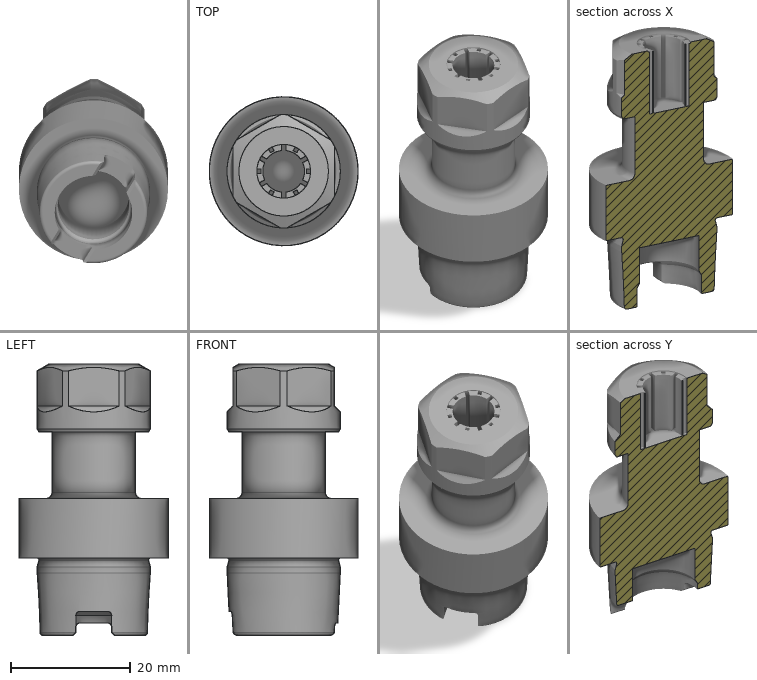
import cadquery as cq
import math

TAN_15 = math.tan(math.radians(15))
TAN_30 = math.tan(math.radians(30))

flange_radius = 25 / 2
flange_height = 10
neck_radius = 14 / 2
neck_fillet = 1

top_z = 32.53
nut_bottom_z = 21.15
nut_radius = 19 / 2
nut_top_radius = 15 / 2
nut_bottom_chamfer = 0.3
flat_count = 6
hex_across_flats = 17
hex_base_z = 25.5

shank_length = 13
shank_radius = 19 / 2
shank_relief_radius = 18.4 / 2
shank_relief_fillet = 0.3
shank_land_top_z = -1.5
shank_land_bottom_z = -2.5
taper_ratio = 1 / 20
rim_fillet = 0.55

mouth_radius = 13 / 2
inner_bore_radius = 12 / 2
mouth_depth = 3.37
inner_bore_top_z = shank_land_bottom_z

drive_slot_width = 6
left_slot_depth = 4.05
right_slot_depth = 2.1
drive_slot_corner = 0.7
drive_slot_flare = 0.5

collet_seat_radius = 9 / 2
collet_recess = 0.2
collet_bore_radius = 7 / 2
collet_slot_count = 6
collet_slot_width = 0.7
short_slot_inner_radius = 3.8
collet_bore_depth = top_z - nut_bottom_z


def make_body():
    """Shank, flange, neck and round nut blank, turned in one profile."""
    shank_bottom_z = -shank_length
    rim_z = shank_bottom_z + rim_fillet
    rim_radius = shank_radius - (shank_land_bottom_z - rim_z) * taper_ratio
    relief_cone_z = shank_land_top_z + (shank_radius - shank_relief_radius) / TAN_15
    nut_chamfer_height = nut_bottom_chamfer / TAN_30
    nut_top_chamfer_height = (nut_radius - nut_top_radius) * TAN_30
    arc_offset = 1 - math.sqrt(0.5)
    profile = (
        cq.Workplane("XZ")
        .moveTo(0, shank_bottom_z)
        .lineTo(rim_radius - rim_fillet, shank_bottom_z)
        .threePointArc(
            (rim_radius - rim_fillet * arc_offset, shank_bottom_z + rim_fillet * arc_offset),
            (rim_radius, rim_z),
        )
        .lineTo(shank_radius, shank_land_bottom_z)
        .lineTo(shank_radius, shank_land_top_z)
        .lineTo(shank_relief_radius, relief_cone_z)
        .lineTo(shank_relief_radius, -shank_relief_fillet)
        .threePointArc(
            (shank_relief_radius + shank_relief_fillet * arc_offset, -shank_relief_fillet * arc_offset),
            (shank_relief_radius + shank_relief_fillet, 0),
        )
        .lineTo(flange_radius, 0)
        .lineTo(flange_radius, flange_height)
        .lineTo(neck_radius + neck_fillet, flange_height)
        .threePointArc(
            (neck_radius + neck_fillet * arc_offset, flange_height + neck_fillet * arc_offset),
            (neck_radius, flange_height + neck_fillet),
        )
        .lineTo(neck_radius, nut_bottom_z)
        .lineTo(nut_radius - nut_bottom_chamfer, nut_bottom_z)
        .lineTo(nut_radius, nut_bottom_z + nut_chamfer_height)
        .lineTo(nut_radius, top_z - nut_top_chamfer_height)
        .lineTo(nut_top_radius, top_z)
        .lineTo(0, top_z)
        .close()
    )
    return profile.revolve(360, (0, 0, 0), (0, 1, 0))


def cut_wrench_flats(body):
    """Six flats, each running out at its foot over a 45 degree slope."""
    flat_x = hex_across_flats / 2
    outer_x = nut_radius + 1
    slope_run = outer_x - flat_x
    cutter = (
        cq.Workplane("XZ")
        .moveTo(flat_x, top_z)
        .lineTo(flat_x, hex_base_z)
        .lineTo(outer_x, hex_base_z - slope_run)
        .lineTo(outer_x, top_z)
        .close()
        .extrude(nut_radius, both=True)
    )
    for i in range(flat_count):
        body = body.cut(cutter.rotate((0, 0, 0), (0, 0, 1), i * 360 / flat_count))
    return body


def cut_shank_bore(body):
    """Stepped bore with a 30 degree cone between its two diameters."""
    mouth_top_z = mouth_depth - shank_length
    cone_height = (mouth_radius - inner_bore_radius) / TAN_30
    bore = (
        cq.Workplane("XZ")
        .moveTo(0, -shank_length)
        .lineTo(mouth_radius, -shank_length)
        .lineTo(mouth_radius, mouth_top_z)
        .lineTo(inner_bore_radius, mouth_top_z + cone_height)
        .lineTo(inner_bore_radius, inner_bore_top_z)
        .lineTo(0, inner_bore_top_z)
        .close()
        .revolve(360, (0, 0, 0), (0, 1, 0))
    )
    return body.cut(bore)


def cut_drive_slot(body, depth, side):
    """Radial slot on one side of X (side is -1 or 1), with a flared mouth."""
    half_width = drive_slot_width / 2
    bottom_z = -shank_length
    slot = (
        cq.Workplane("XY", origin=(side * shank_radius / 2, 0, bottom_z))
        .box(shank_radius, drive_slot_width, 2 * depth)
        .edges("|X and >Z")
        .fillet(drive_slot_corner)
    )
    flare = (
        cq.Workplane("YZ")
        .moveTo(-half_width - drive_slot_flare, bottom_z)
        .lineTo(half_width + drive_slot_flare, bottom_z)
        .lineTo(half_width, bottom_z + drive_slot_flare)
        .lineTo(-half_width, bottom_z + drive_slot_flare)
        .close()
        .extrude(side * shank_radius)
    )
    return body.cut(slot).cut(flare)


def collet_slot(inner_radius, angle):
    """Radial saw cut in the collet from inner_radius out to the collet seat."""
    length = collet_seat_radius - inner_radius
    return (
        cq.Workplane("XY", origin=(inner_radius + length / 2, 0, top_z - collet_bore_depth / 2))
        .box(length, collet_slot_width, collet_bore_depth)
        .rotate((0, 0, 0), (0, 0, 1), angle)
    )


def cut_collet(body):
    """Recessed collet face, clamping bore and alternating through and short slots."""
    face = cq.Workplane("XY", origin=(0, 0, top_z))
    body = body.cut(face.circle(collet_seat_radius).extrude(-collet_recess))
    body = body.cut(face.circle(collet_bore_radius).extrude(-collet_bore_depth))
    pitch = 360 / collet_slot_count
    for i in range(collet_slot_count):
        body = body.cut(collet_slot(0, (i + 0.5) * pitch))
        body = body.cut(collet_slot(short_slot_inner_radius, i * pitch))
    return body


result = make_body()
result = cut_wrench_flats(result)
result = cut_shank_bore(result)
result = cut_drive_slot(result, left_slot_depth, -1)
result = cut_drive_slot(result, right_slot_depth, 1)
result = cut_collet(result)